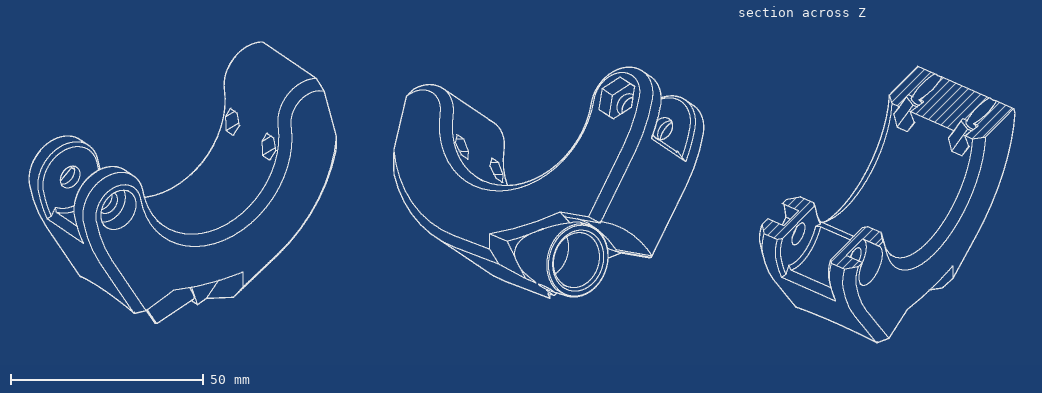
import cadquery as cq
import math


WIDTH = 30.0
BORE_RADIUS = 21.4
END_RADIUS = 9.5
OUTER_RADIUS = 40.4
PIVOT_RISE = 21.0
TIP_DROP = 22.5
EDGE_CHAMFER = 2.5
BODY_TILT = 31.0

PAD_DISTANCE = 35.65
PAD_DROP = 16.0
SCREW_SPACING = 17.0
SCREW_OFFSET = 9.6
SCREW_DIAMETER = 3.3
SCREW_LENGTH = 27.8
SCREW_NUT_FLATS = 5.55
SCREW_NUT_TURN = 30.0
SCREW_NUT_SEAT = 10.3

KNUCKLE_WIDTH = 14.9
KNUCKLE_RADIUS = 9.8
KNUCKLE_CHAMFER = 0.95
STOP_FRONT_ANGLE = 207.5
STOP_BACK_ANGLE = -54.0
SLOT_REACH = 19.85
PIN_DIAMETER = 6.1
PIN_NUT_FLATS = 10.1
PIN_HEAD_DIAMETER = 11.0
PIN_RECESS_DEPTH = 5.0

TUBE_RADIUS = 9.7
TUBE_AXIS_Z = -30.95
TUBE_ORIGIN_Y = -15.9
TUBE_SWING = 15.0
TUBE_LENGTH = 17.5
TUBE_EDGE_CHAMFER = 0.3
SOCKET_DIAMETER = 14.5
SOCKET_DEPTH = 15.0
SOCKET_CHAMFER = 0.8
CROSS_HOLE_DIAMETER = 4.4

HUB_BACK_Y = -7.9
HUB_FRONT_Y = -23.0
HUB_TOP_Z = -25.4
HUB_FOOT_HALF_WIDTH = 8.1
HUB_FLARE = 0.5
HUB_TAPER = 0.21

WALL_POINT_Y = -23.7
WALL_SWEEP = 32.0
WALL_LEAN = 31.0
CEILING_BACK = (-9.9, -34.5)
CEILING_MIDDLE = (-20.6, -28.4)
CEILING_CORNER = (-28.65, -22.2)
CEILING_FRONT = (-44.45, -19.8)
CEILING_DIP = 2.6
CROWN_RADIUS = 44.45

FAR = 158.75


def polar(radius, degrees, centre=(0, 0)):
    """Point at a radius and an angle about a centre."""
    angle = math.radians(degrees)
    return (centre[0] + radius * math.cos(angle), centre[1] + radius * math.sin(angle))


PITCH_RADIUS = BORE_RADIUS + END_RADIUS
END_OUTER_RADIUS = PITCH_RADIUS + END_RADIUS
PIVOT_ANGLE = 180 - PIVOT_RISE
TIP_ANGLE = -TIP_DROP
PIVOT = polar(PITCH_RADIUS, PIVOT_ANGLE)
TIP = polar(PITCH_RADIUS, TIP_ANGLE)


def side_plane(x):
    """Sketch plane at one X whose axes are Y and Z."""
    return cq.Workplane("YZ", origin=(x, 0, 0))


def facing_plane(degrees, point):
    """Plane through a (Y, Z) point that faces an angle measured from +Y."""
    normal_y, normal_z = polar(1, degrees)
    return cq.Plane(origin=(0, *point), xDir=(1, 0, 0), normal=(0, normal_y, normal_z))


def pad_plane():
    return cq.Workplane(facing_plane(-PAD_DROP, polar(PAD_DISTANCE, -PAD_DROP)))


def through_cylinder(radius, centre=(0, 0)):
    """Cylinder along X, longer than the part is wide."""
    return side_plane(-WIDTH).center(*centre).circle(radius).extrude(2 * WIDTH)


def hook_body():
    """Half ring with round ends and a square corner, chamfered except at the pad."""
    outline = (
        side_plane(-WIDTH / 2)
        .moveTo(*polar(BORE_RADIUS, TIP_ANGLE))
        .threePointArc(polar(BORE_RADIUS, TIP_ANGLE - 90), polar(BORE_RADIUS, PIVOT_ANGLE))
        .threePointArc(
            polar(END_RADIUS, PIVOT_ANGLE - 90, PIVOT), polar(END_OUTER_RADIUS, PIVOT_ANGLE)
        )
        .threePointArc(polar(OUTER_RADIUS, 180 - PIVOT_RISE / 2), (-OUTER_RADIUS, 0))
        .lineTo(-OUTER_RADIUS, -OUTER_RADIUS)
        .lineTo(0, -OUTER_RADIUS)
        .threePointArc(polar(OUTER_RADIUS, (TIP_ANGLE - 90) / 2), polar(END_OUTER_RADIUS, TIP_ANGLE))
        .threePointArc(polar(END_RADIUS, TIP_ANGLE + 90, TIP), polar(BORE_RADIUS, TIP_ANGLE))
        .close()
    )
    body = outline.extrude(WIDTH).faces("<X or >X").chamfer(EDGE_CHAMFER)
    return body.cut(pad_plane().rect(FAR, FAR).extrude(FAR))


def cut_hinge_slot(body):
    """Open the slot between the ears, bevel its rims, then sink the knuckle clearance."""
    front_stop = polar(FAR, STOP_FRONT_ANGLE)
    back_stop = polar(FAR, STOP_BACK_ANGLE)
    slot = (
        side_plane(-KNUCKLE_WIDTH / 2)
        .center(*PIVOT)
        .polyline([(0, 0), front_stop, (-FAR, FAR), (FAR, FAR), back_stop])
        .close()
        .extrude(KNUCKLE_WIDTH)
        .intersect(through_cylinder(SLOT_REACH, PIVOT))
    )
    body = body.cut(slot)
    for x in (-KNUCKLE_WIDTH / 2, KNUCKLE_WIDTH / 2):
        ear_face = cq.selectors.BoxSelector((x - 0.1, -FAR, -FAR), (x + 0.1, FAR, FAR), boundingbox=True)
        body = body.edges(ear_face).edges("%CIRCLE").chamfer(KNUCKLE_CHAMFER)
    knuckle = side_plane(-KNUCKLE_WIDTH / 2).center(*PIVOT).circle(KNUCKLE_RADIUS).extrude(KNUCKLE_WIDTH)
    return body.cut(knuckle.faces("<X or >X").chamfer(KNUCKLE_CHAMFER))


def pin_hole():
    """Hinge pin hole with a nut pocket on the -X ear and a head recess on the +X ear."""
    nut = (
        side_plane(-WIDTH / 2)
        .center(*PIVOT)
        .transformed(rotate=(0, 0, -PIVOT_RISE))
        .polygon(6, PIN_NUT_FLATS, circumscribed=True)
        .extrude(PIN_RECESS_DEPTH)
    )
    head = (
        side_plane(WIDTH / 2 - PIN_RECESS_DEPTH)
        .center(*PIVOT)
        .circle(PIN_HEAD_DIAMETER / 2)
        .extrude(PIN_RECESS_DEPTH)
    )
    return through_cylinder(PIN_DIAMETER / 2, PIVOT).union(nut).union(head)


def pad_screws():
    """Screw holes square to the pad, with nut pockets that open into the bore."""
    cutter = cq.Workplane()
    for x in (-SCREW_SPACING / 2, SCREW_SPACING / 2):
        axis = pad_plane().center(x, SCREW_OFFSET)
        hole = axis.circle(SCREW_DIAMETER / 2).extrude(-SCREW_LENGTH)
        nut = (
            axis.workplane(offset=-SCREW_NUT_SEAT)
            .transformed(rotate=(0, 0, SCREW_NUT_TURN))
            .polygon(6, SCREW_NUT_FLATS, circumscribed=True)
            .extrude(SCREW_NUT_SEAT - SCREW_LENGTH)
        )
        cutter = cutter.add(hole.union(nut))
    return cutter.combine()


def ceiling_section(x, dip):
    """Outline of the clearance at one X, with its ceiling lowered by the dip."""
    ceiling = (CEILING_BACK, CEILING_MIDDLE, CEILING_CORNER, CEILING_FRONT)
    back, middle, corner, front = [(y, z - dip) for y, z in ceiling]
    outline = side_plane(x).moveTo(*back).threePointArc(middle, corner).lineTo(*front)
    return outline.lineTo(front[0], -FAR).lineTo(back[0], -FAR).close().val()


def under_ceiling():
    """Space under a ceiling that dips from both side faces towards mid width."""
    middle = ceiling_section(0, CEILING_DIP)
    halves = [
        cq.Workplane(cq.Solid.makeLoft([ceiling_section(x, 0), middle], True))
        for x in (-WIDTH / 2, WIDTH / 2)
    ]
    return halves[0].union(halves[1])


def before_walls():
    """Space on the tube side of the two swept-back, leaning walls."""
    sweep_run = FAR * math.tan(math.radians(WALL_SWEEP))
    lean = cq.Vector(0, math.tan(math.radians(WALL_LEAN)), 1) * FAR
    outline = (
        cq.Workplane("XY", origin=(0, WALL_POINT_Y, -OUTER_RADIUS))
        .polyline([(0, 0), (FAR, sweep_run), (FAR, -FAR), (-FAR, -FAR), (-FAR, sweep_run)])
        .close()
        .val()
    )
    footprint = cq.Face.makeFromWires(outline)
    above = cq.Workplane(cq.Solid.extrudeLinear(footprint, lean))
    below = cq.Workplane(cq.Solid.extrudeLinear(footprint, lean * -1))
    return above.union(below)


def ceiling_crown():
    """Shallow arched opening over the tube mouth, highest at mid width."""
    run = CEILING_FRONT[0] - CEILING_CORNER[0]
    rise = CEILING_FRONT[1] - CEILING_CORNER[1]
    half_span = WIDTH / 2 - EDGE_CHAMFER
    crown_height = CROWN_RADIUS - math.sqrt(CROWN_RADIUS**2 - half_span**2)
    facing = facing_plane(math.degrees(math.atan2(rise, run)), CEILING_CORNER)
    return (
        cq.Workplane(facing)
        .moveTo(-half_span, 0)
        .threePointArc((0, crown_height), (half_span, 0))
        .lineTo(half_span, -OUTER_RADIUS)
        .lineTo(-half_span, -OUTER_RADIUS)
        .close()
        .extrude(OUTER_RADIUS)
    )


def hub_section(forward):
    """Corners of the hub, which flares upwards and narrows towards the tube mouth."""
    foot = HUB_FOOT_HALF_WIDTH - HUB_TAPER * forward
    top = foot + HUB_FLARE * (OUTER_RADIUS + HUB_TOP_Z)
    return [(-foot, -OUTER_RADIUS), (foot, -OUTER_RADIUS), (top, HUB_TOP_Z), (-top, HUB_TOP_Z)]


def hub():
    length = HUB_BACK_Y - HUB_FRONT_Y
    return (
        cq.Workplane("XZ", origin=(0, HUB_BACK_Y, 0))
        .polyline(hub_section(0))
        .close()
        .workplane(offset=length)
        .polyline(hub_section(length))
        .close()
        .loft(ruled=True)
    )


def tube_plane(setback):
    """Plane square to the tube axis, set back from the mouth and facing out of it."""
    axis_x, axis_y = polar(1, 270 - TUBE_SWING)
    origin_x, origin_y = polar(TUBE_LENGTH - setback, 270 - TUBE_SWING, (0, TUBE_ORIGIN_Y))
    return cq.Plane(
        origin=(origin_x, origin_y, TUBE_AXIS_Z), xDir=(-axis_y, axis_x, 0), normal=(axis_x, axis_y, 0)
    )


def tube():
    """Outside of the socket tube, flattened where it meets the underside."""
    mouth = tube_plane(0)
    mouth_face = cq.selectors.NearestToPointSelector(mouth.origin.toTuple())
    solid = cq.Workplane(tube_plane(TUBE_LENGTH)).circle(TUBE_RADIUS).extrude(TUBE_LENGTH)
    solid = solid.faces(mouth_face).chamfer(TUBE_EDGE_CHAMFER)
    underside = cq.Workplane("XY", origin=(0, 0, -OUTER_RADIUS))
    return solid.cut(underside.rect(FAR, FAR).extrude(-FAR))


def socket():
    """Blind socket with a countersunk mouth and a cross hole through the underside."""
    mouth = tube_plane(0)
    radius = SOCKET_DIAMETER / 2
    bore = cq.Workplane(mouth).circle(radius).extrude(-SOCKET_DEPTH)
    entry = cq.Solid.makeCone(
        radius + SOCKET_CHAMFER, radius, SOCKET_CHAMFER, mouth.origin, mouth.zDir * -1
    )
    cross_origin = tube_plane(SOCKET_DEPTH / 2).origin.toTuple()
    cross_hole = (
        cq.Workplane("XY", origin=cross_origin).circle(CROSS_HOLE_DIAMETER / 2).extrude(-2 * TUBE_RADIUS)
    )
    return bore.union(cq.Workplane(entry)).union(cross_hole)


hook = hook_body()
clearance = under_ceiling().intersect(before_walls()).union(ceiling_crown())
part = cut_hinge_slot(hook).cut(clearance)
part = part.union(hub().intersect(hook)).union(tube()).cut(socket())
part = part.cut(pin_hole()).cut(pad_screws())
result = part.rotate((0, 0, 0), (1, 0, 0), BODY_TILT)